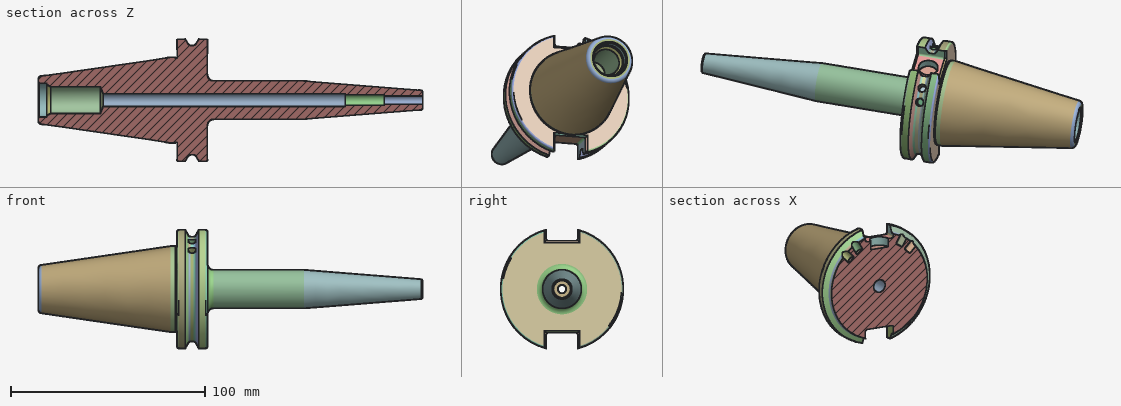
import cadquery as cq
import math

gauge_radius = 44.45 / 2
taper_length = 68.25
taper_ratio = 7 / 24
rear_round = 1.9
undercut_width = 0.7
undercut_depth = 0.4

flange_radius = 63.35 / 2
flange_rear = 3.2
flange_front = 19.1
rim_round = 1.0
cut_clearance = 1.0

groove_center = 11.05
groove_bottom_radius = 28.3
groove_apex_radius = 25.65
groove_wall_angle = 30
groove_bottom_round = 1.2

slot_width = 16.25
top_slot_floor = 25.0
bottom_slot_floor = 22.5
slot_corner_round = 1.0
slot_edge_chamfer = 1.0

chip_hole_diameter = 10.0
chip_hole_depth = 4.5

coolant_hole_diameter = 4.0
coolant_hole_depth = 5.0
coolant_hole_angles = (45, 60, 120, 135)

shank_radius = 10.0
shank_root_round = 3.0
shank_cone_start = 68.7
nose_end = 130.0
nose_radius = 5.1
nose_chamfer = 0.7

mouth_radius = 9.3
pilot_radius = 8.7
pilot_depth = 4.4
center_radius = 8.0
center_half_angle = 30
thread_radius = 6.8
thread_depth = 32.0
drill_point_half_angle = 68
core_hole_radius = 3.25
stop_bore_radius = 2.65
tool_bore_radius = 2.1
stop_bore_length = 20.0
tool_bore_length = 20.0


def revolve_about_x(outline):
    """Turn a closed (axial, radial) outline about the X axis."""
    return outline.close().revolve(360, (0, 0, 0), (1, 0, 0))


def make_taper():
    rear_radius = gauge_radius - taper_length * taper_ratio / 2
    taper = revolve_about_x(
        cq.Workplane("XZ")
        .moveTo(-taper_length, 0)
        .lineTo(-taper_length, rear_radius)
        .lineTo(0, gauge_radius)
        .lineTo(flange_rear - undercut_width, gauge_radius)
        .lineTo(flange_rear - undercut_width, gauge_radius - undercut_depth)
        .lineTo(flange_rear, gauge_radius - undercut_depth)
        .lineTo(flange_rear, 0)
    )
    return taper.faces("<X").edges().fillet(rear_round)


def make_flange():
    flange = revolve_about_x(
        cq.Workplane("XZ")
        .moveTo(flange_rear, 0)
        .lineTo(flange_rear, flange_radius)
        .lineTo(flange_front, flange_radius)
        .lineTo(flange_front, 0)
    )
    rim_edges = flange.faces("<X or >X").edges()
    return rim_edges.fillet(rim_round)


def make_gripper_groove():
    """Ring with sloped walls and a rounded bottom, to be cut from the flange rim."""
    slope = math.tan(math.radians(groove_wall_angle))
    cutter_radius = flange_radius + cut_clearance
    bottom_half = (groove_bottom_radius - groove_apex_radius) * slope
    mouth_half = (cutter_radius - groove_apex_radius) * slope
    ring = revolve_about_x(
        cq.Workplane("XZ")
        .moveTo(groove_center - mouth_half, cutter_radius)
        .lineTo(groove_center - bottom_half, groove_bottom_radius)
        .lineTo(groove_center + bottom_half, groove_bottom_radius)
        .lineTo(groove_center + mouth_half, cutter_radius)
    )
    inner_edges = cq.selectors.RadiusNthSelector(0)
    return ring.edges("%CIRCLE").edges(inner_edges).fillet(groove_bottom_round)


def make_drive_slot(floor, direction):
    """Key slot through the flange rim, widened by chamfers at both flange faces."""
    length = flange_front - flange_rear
    height = flange_radius + cut_clearance - floor
    slot = (
        cq.Workplane("XY", origin=(flange_rear, 0, floor))
        .box(length, slot_width, height, centered=(False, True, False))
        .edges("|X and <Z")
        .fillet(slot_corner_round)
    )
    for face_x, inward in ((flange_rear, 1), (flange_front, -1)):
        flare = (
            cq.Workplane("YZ", origin=(face_x, 0, floor + height / 2))
            .rect(slot_width + 2 * slot_edge_chamfer, height + 2 * slot_edge_chamfer)
            .workplane(offset=inward * slot_edge_chamfer)
            .rect(slot_width, height)
            .loft(ruled=True)
        )
        slot = slot.union(flare)
    return slot if direction > 0 else slot.mirror("XY")


def make_shank():
    shank = revolve_about_x(
        cq.Workplane("XZ")
        .moveTo(flange_front, 0)
        .lineTo(flange_front, shank_radius + shank_root_round)
        .radiusArc((flange_front + shank_root_round, shank_radius), -shank_root_round)
        .lineTo(shank_cone_start, shank_radius)
        .lineTo(nose_end, nose_radius)
        .lineTo(nose_end, 0)
    )
    return shank.faces(">X").edges().chamfer(nose_chamfer)


def cone_length(large_radius, small_radius, half_angle):
    return (large_radius - small_radius) / math.tan(math.radians(half_angle))


def make_bore():
    """Stepped bore along the full axis, from the drawbar thread to the tool seat."""
    rear = -taper_length
    mouth_end = rear + mouth_radius - pilot_radius
    pilot_end = rear + pilot_depth
    center_end = pilot_end + cone_length(center_radius, thread_radius, center_half_angle)
    thread_end = rear + thread_depth
    point_end = thread_end + cone_length(thread_radius, core_hole_radius, drill_point_half_angle)
    tool_bore_start = nose_end - tool_bore_length
    stop_bore_start = tool_bore_start - stop_bore_length
    return revolve_about_x(
        cq.Workplane("XZ")
        .moveTo(rear, 0)
        .lineTo(rear, mouth_radius)
        .lineTo(mouth_end, pilot_radius)
        .lineTo(pilot_end, pilot_radius)
        .lineTo(pilot_end, center_radius)
        .lineTo(center_end, thread_radius)
        .lineTo(thread_end, thread_radius)
        .lineTo(point_end, core_hole_radius)
        .lineTo(stop_bore_start, core_hole_radius)
        .lineTo(stop_bore_start, stop_bore_radius)
        .lineTo(tool_bore_start, stop_bore_radius)
        .lineTo(tool_bore_start, tool_bore_radius)
        .lineTo(nose_end, tool_bore_radius)
        .lineTo(nose_end, 0)
    )


def make_chip_hole():
    return (
        cq.Workplane("XY", origin=(groove_center, 0, top_slot_floor))
        .circle(chip_hole_diameter / 2)
        .extrude(-chip_hole_depth)
    )


def make_coolant_hole(angle):
    """Blind radial hole in the groove bottom."""
    hole = (
        cq.Workplane("XZ", origin=(groove_center, groove_bottom_radius - coolant_hole_depth, 0))
        .circle(coolant_hole_diameter / 2)
        .extrude(-(flange_radius - groove_bottom_radius + coolant_hole_depth))
    )
    return hole.rotate((0, 0, 0), (1, 0, 0), angle)


flange = make_flange().cut(make_gripper_groove())
for hole_angle in coolant_hole_angles:
    flange = flange.cut(make_coolant_hole(hole_angle))
flange = flange.cut(make_drive_slot(top_slot_floor, 1))
flange = flange.cut(make_drive_slot(bottom_slot_floor, -1))
flange = flange.cut(make_chip_hole())

result = make_taper().union(flange).union(make_shank()).cut(make_bore())